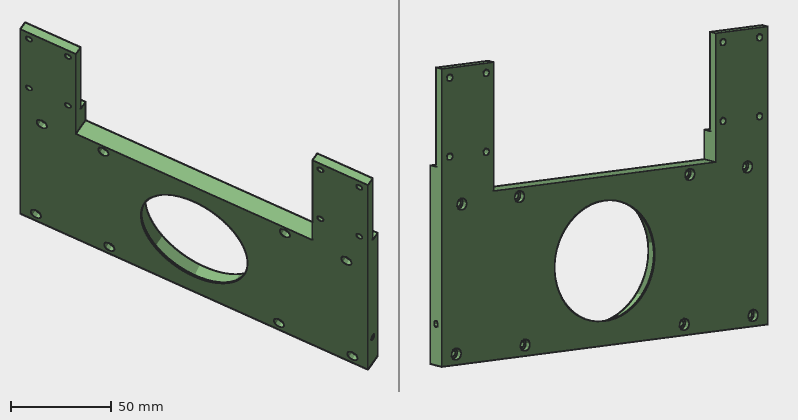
import cadquery as cq

width = 199.0
height = 151.0
thickness = 10.0

arm_width = 31.8
notch_floor = 85.8
arm_step = 100.7
arm_thickness = thickness / 2

opening_diameter = 61.0
opening_height = 43.0
opening_lip_thickness = 1.0
opening_rear_diameter = 67.0

arm_hole_diameter = 3.4
arm_hole_edge = 5.0
arm_hole_spacing = (22.3, 40.0)

screw_diameter = 3.4
screw_head_diameter = 5.8
screw_head_depth = 3.4
upper_screw_height = 81.2
upper_screw_edges = (12.3, 47.5)
lower_screw_height = 5.5
lower_screw_edges = (9.0, 51.0)

side_hole_diameter = 3.2
side_hole_depth = 10.0
side_hole_height = 21.0


def mirrored(edge_distances, z):
    """Points at the given distances from both side edges, at height z."""
    return [(side * (width / 2 - edge), z) for edge in edge_distances for side in (-1, 1)]


def bore(points, diameter, depth):
    """Cylinders running back from the front face."""
    front = cq.Workplane("XZ")
    return front.pushPoints(points).circle(diameter / 2).extrude(-depth)


def make_plate():
    plate = cq.Workplane("XY").box(width, thickness, height, centered=(True, False, False))
    notch = cq.Workplane("XY").box(
        width - 2 * arm_width, thickness, height - notch_floor, centered=(True, False, False)
    ).translate((0, 0, notch_floor))
    back_step = cq.Workplane("XY").box(
        width, thickness - arm_thickness, height - arm_step, centered=(True, False, False)
    ).translate((0, arm_thickness, arm_step))
    return plate.cut(notch).cut(back_step)


def make_opening():
    """Round opening, wider behind a thin lip at the front face."""
    center = [(0, opening_height)]
    lip_bore = bore(center, opening_diameter, thickness)
    rear_bore = bore(center, opening_rear_diameter, thickness - opening_lip_thickness)
    return lip_bore.union(rear_bore.translate((0, opening_lip_thickness, 0)))


def make_arm_holes():
    edges = [arm_hole_edge, arm_hole_edge + arm_hole_spacing[0]]
    top_row = height - arm_hole_edge
    points = mirrored(edges, top_row) + mirrored(edges, top_row - arm_hole_spacing[1])
    return bore(points, arm_hole_diameter, thickness)


def make_screw_holes():
    points = mirrored(upper_screw_edges, upper_screw_height)
    points += mirrored(lower_screw_edges, lower_screw_height)
    shanks = bore(points, screw_diameter, thickness)
    heads = bore(points, screw_head_diameter, screw_head_depth)
    return shanks.union(heads)


def make_side_hole(side):
    """Blind hole entering from the -X (side = -1) or +X (side = 1) edge."""
    hole = cq.Workplane("YZ").center(thickness / 2, side_hole_height)
    hole = hole.circle(side_hole_diameter / 2).extrude(-side * side_hole_depth)
    return hole.translate((side * width / 2, 0, 0))


result = make_plate()
result = result.cut(make_opening())
result = result.cut(make_arm_holes())
result = result.cut(make_screw_holes())
for edge_side in (-1, 1):
    result = result.cut(make_side_hole(edge_side))